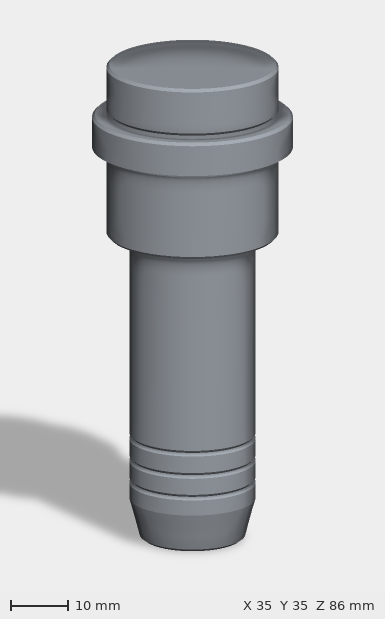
import cadquery as cq

total_height = 86.0
flange_radius = 35.0 / 2
body_radius = 30.0 / 2
shank_radius = 22.0 / 2

flange_top = 9.0
flange_bottom = 15.0
body_bottom = 31.0
taper_start = 78.8
shank_groove_tops = (67.0, 71.0, 75.0)

edge_chamfer = 0.5
groove_width = 1.0
groove_depth = groove_width / 2
tip_taper_angle = 15.0


def disc(radius, top, bottom):
    """Cylinder between two depths below the top face."""
    return (
        cq.Workplane("XY")
        .workplane(offset=total_height - bottom)
        .circle(radius)
        .extrude(bottom - top)
    )


def v_groove(radius, top):
    """Ring with a triangular section that cuts into a cylinder of the given radius."""
    upper_z = total_height - top
    section = [
        (radius, upper_z),
        (radius - groove_depth, upper_z - groove_width / 2),
        (radius, upper_z - groove_width),
    ]
    return cq.Workplane("XZ").polyline(section).close().revolve(360, (0, 0), (0, 1))


body = disc(body_radius, 0, body_bottom).edges().chamfer(edge_chamfer)
for groove_top in (flange_top - groove_width, flange_bottom):
    body = body.cut(v_groove(body_radius, groove_top))

flange = disc(flange_radius, flange_top, flange_bottom).edges(">Z").chamfer(edge_chamfer)

neck_bottom = body_bottom + groove_width
neck = disc(shank_radius - groove_depth, body_bottom, neck_bottom)
shank = disc(shank_radius, neck_bottom, taper_start)
for groove_top in shank_groove_tops:
    shank = shank.cut(v_groove(shank_radius, groove_top))

tip = (
    cq.Workplane("XY")
    .workplane(offset=total_height - taper_start)
    .circle(shank_radius)
    .extrude(taper_start - total_height, taper=tip_taper_angle)
    .faces("<Z")
    .edges()
    .chamfer(edge_chamfer)
)

result = body.union(flange).union(neck).union(shank).union(tip)